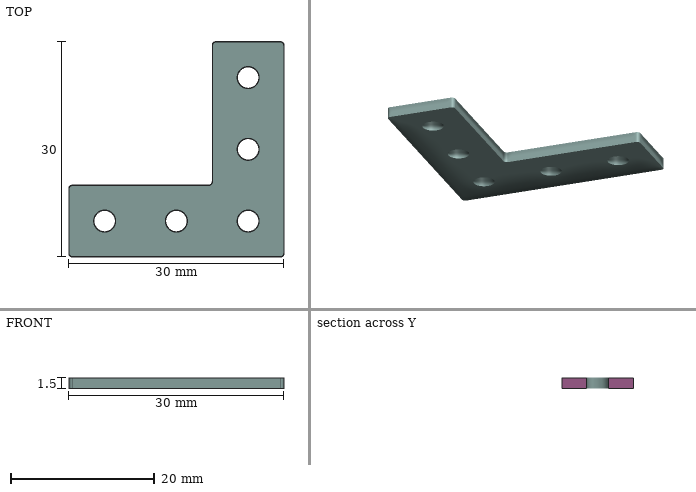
import cadquery as cq

side_length = 30.0
thickness = 1.5
holes_per_leg = 3
corner_radius = 0.5
hole_diameter = 3.0

hole_pitch = side_length / holes_per_leg
leg_width = hole_pitch
half_side = side_length / 2
inner_x = half_side - leg_width
inner_y = -half_side + leg_width


def l_plate():
    """L-shaped plate with every vertical edge rounded, including the inner corner."""
    outline = [
        (-half_side, -half_side),
        (half_side, -half_side),
        (half_side, half_side),
        (inner_x, half_side),
        (inner_x, inner_y),
        (-half_side, inner_y),
    ]
    plate = cq.Workplane("XY").polyline(outline).close().extrude(thickness)
    return plate.edges("|Z").fillet(corner_radius)


def hole_centers():
    """Centres along both legs, with the corner hole shared between them."""
    corner_x = half_side - leg_width / 2
    corner_y = -half_side + leg_width / 2
    centers = [(corner_x, corner_y)]
    for step in range(1, holes_per_leg):
        offset = step * hole_pitch
        centers.append((corner_x - offset, corner_y))
        centers.append((corner_x, corner_y + offset))
    return centers


def hole_cutters():
    """Cylinders passing through the full thickness."""
    return cq.Workplane("XY").pushPoints(hole_centers()).circle(hole_diameter / 2).extrude(thickness)


result = l_plate().cut(hole_cutters())